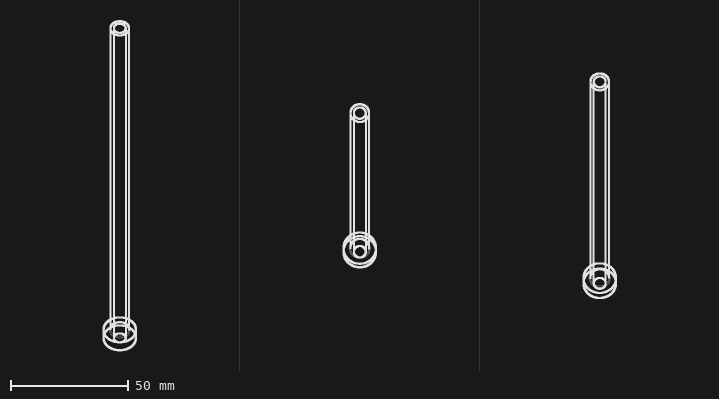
import cadquery as cq

total_length = 205.0
head_diameter = 14.0
head_height = 5.3
tube_diameter = 8.0
bore_diameter = 5.1
neck_fillet = 0.51

head_radius = head_diameter / 2
tube_radius = tube_diameter / 2
body = (
    cq.Workplane("XZ")
    .lineTo(head_radius, 0)
    .lineTo(head_radius, head_height)
    .lineTo(tube_radius + neck_fillet, head_height)
    .radiusArc((tube_radius, head_height + neck_fillet), neck_fillet)
    .lineTo(tube_radius, total_length)
    .lineTo(0, total_length)
    .close()
    .revolve(360, (0, 0, 0), (0, 1, 0))
)

bore = cq.Workplane("XY").circle(bore_diameter / 2).extrude(total_length)

result = body.cut(bore)